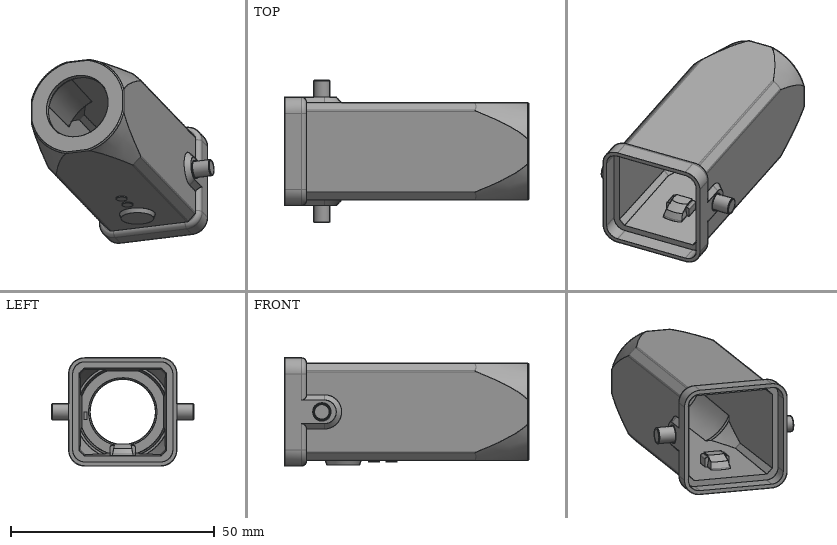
import cadquery as cq
import math

length = 60.0
pin_span = 35.0

collar_half = 13.3
collar_length = 5.4
collar_corner = 4.0
rim_wall = 1.0
rim_depth = 4.0

body_half = 12.0
body_chamfer = 2.0
body_edge_round = 0.5
nose_start = 46.8
nose_start_radius = 15.6
nose_end_radius = 12.3
nose_edge_chamfer = 0.3

end_wall = 2.0
floor_x = length - end_wall
cavity_mouth_half = 10.8
cavity_floor_half = 10.05
cavity_chamfer = 1.4
cavity_nose_start = 26.0
cavity_nose_radius = 14.4
ledge_x = 36.0
ledge_radius = 11.85
drum_radius = 11.25
drum_floor_radius = 10.75
cable_radius = 8.0
cable_chamfer = 0.4

notch_inner_y = 8.8
notch_outer_y = 9.5
notch_height = 1.85
notch_depth = 0.5

ear_base_radius = 4.2
ear_center_x = 9.8
pin_x = 9.15
pin_radius = 2.0
pin_tip_chamfer = 0.2
pin_groove_radius = 2.25
pin_groove_depth = 0.2

boss_x = 14.4
boss_base_radius = 4.4
boss_tip_radius = 4.0
boss_drop = 1.1
inner_boss_front_x = 10.9
inner_boss_flare_radius = 8.3
inner_boss_foot_radius = 8.0
inner_boss_shoulder_radius = 7.0
inner_boss_top_radius = 4.4
inner_boss_root_z = -11.5
inner_boss_flare_z = -10.8
inner_boss_foot_z = -10.4
inner_boss_shoulder_z = -8.95
inner_boss_top_z = -7.85
inner_boss_foot_half_width = 2.5
inner_boss_top_half_width = 2.2
cheek_half_width = 3.1
cheek_top_z = -8.2
cheek_round = 0.5
inner_boss_end_x = 2 * boss_x - inner_boss_front_x

pad_centers_x = (21.95, 26.3)
pad_radius = 1.35
pad_height = 0.3

overlap = 1.0
tangent_gap = 0.01


def square_section(x, half, chamfer):
    """Square wire across X with chamfered corners."""
    section = cq.Workplane("YZ", origin=(x, 0, 0))
    inner = half - chamfer
    return section.polyline([
        (half, -inner), (half, inner), (inner, half), (-inner, half),
        (-half, inner), (-half, -inner), (-inner, -half), (inner, -half),
    ]).close()


def turned(profile):
    """Revolve (x, radius) points around the X axis."""
    return cq.Workplane("XY").polyline(profile).close().revolve(360, (0, 0, 0), (1, 0, 0))


def make_collar():
    side = 2 * collar_half
    collar = cq.Workplane("YZ").rect(side, side).extrude(collar_length)
    collar = collar.edges("|X").fillet(collar_corner)
    return collar.faces(">X").edges().fillet(collar_half - body_half - tangent_gap)


def make_body():
    body = square_section(0, body_half, body_chamfer).extrude(length)
    body = body.edges("|X").fillet(body_edge_round)
    slope = (nose_end_radius - nose_start_radius) / (length - nose_start)
    envelope = turned([
        (0, 0),
        (0, nose_start_radius - slope * nose_start),
        (length, nose_end_radius),
        (length, 0),
    ])
    return body.intersect(envelope).faces(">X").edges().chamfer(nose_edge_chamfer)


def make_ear(side):
    """Tapered tongue running from the collar, on the +Y or -Y side."""
    ear_height = collar_half - body_half
    start = rim_depth / 2
    plane = cq.Plane(origin=(0, side * body_half, 0), xDir=(1, 0, 0), normal=(0, side, 0))

    def outline(workplane, radius):
        return (
            workplane.moveTo(start, -radius)
            .lineTo(ear_center_x, -radius)
            .threePointArc((ear_center_x + radius, 0), (ear_center_x, radius))
            .lineTo(start, radius)
            .close()
        )

    ear = outline(cq.Workplane(plane), ear_base_radius)
    ear = outline(ear.workplane(offset=ear_height), ear_base_radius - ear_height)
    return ear.loft(combine=True)


def make_pin(side):
    """Locking pin standing in a shallow ring groove."""
    foot_y = collar_half - pin_groove_depth
    plane = cq.Plane(origin=(pin_x, side * foot_y, 0), xDir=(1, 0, 0), normal=(0, side, 0))
    pin = cq.Workplane(plane).circle(pin_radius).extrude(pin_span / 2 - foot_y)
    pin = pin.faces(">Y" if side > 0 else "<Y").chamfer(pin_tip_chamfer)
    groove = cq.Workplane(plane).circle(pin_groove_radius).extrude(pin_groove_depth)
    return pin, groove


def make_mouth_recess():
    side = 2 * (collar_half - rim_wall)
    recess = cq.Workplane("YZ").rect(side, side).extrude(rim_depth)
    return recess.edges("|X").fillet(collar_corner - rim_wall)


def make_cavity():
    """Drafted square bore that turns round at its corners, with a ledge before the drum."""
    depth = floor_x - rim_depth
    draft = math.degrees(math.atan((cavity_mouth_half - cavity_floor_half) / depth))
    bore = square_section(rim_depth, cavity_mouth_half, cavity_chamfer).extrude(depth, taper=draft)
    return bore.intersect(turned([
        (0, 0),
        (0, cavity_nose_radius),
        (cavity_nose_start, cavity_nose_radius),
        (ledge_x, ledge_radius),
        (ledge_x, drum_radius),
        (floor_x, drum_floor_radius),
        (floor_x, 0),
    ]))


def make_cable_hole():
    return turned([
        (floor_x - overlap, 0),
        (floor_x - overlap, cable_radius + cable_chamfer),
        (floor_x, cable_radius + cable_chamfer),
        (floor_x + cable_chamfer, cable_radius),
        (length + overlap, cable_radius),
        (length + overlap, 0),
    ])


def make_notch():
    width = notch_outer_y - notch_inner_y
    corner = (floor_x - overlap, notch_inner_y, -notch_height)
    return cq.Workplane("XY", origin=corner).box(
        overlap + notch_depth, width, notch_height, centered=False
    )


def make_inner_boss_core():
    """Tall middle of the inner boss: tapered sides and a sloped, slightly rounded front."""
    core = cq.Workplane("YZ", origin=(inner_boss_front_x, 0, 0)).polyline([
        (-inner_boss_foot_half_width, inner_boss_root_z),
        (-inner_boss_foot_half_width, inner_boss_foot_z),
        (-inner_boss_top_half_width, inner_boss_shoulder_z),
        (-inner_boss_top_half_width, inner_boss_top_z),
        (inner_boss_top_half_width, inner_boss_top_z),
        (inner_boss_top_half_width, inner_boss_shoulder_z),
        (inner_boss_foot_half_width, inner_boss_foot_z),
        (inner_boss_foot_half_width, inner_boss_root_z),
    ]).close().extrude(inner_boss_end_x - inner_boss_front_x)
    front = cq.Workplane("XZ").polyline([
        (0, inner_boss_root_z),
        (inner_boss_flare_radius, inner_boss_root_z),
        (inner_boss_flare_radius, inner_boss_flare_z),
        (inner_boss_foot_radius, inner_boss_foot_z),
        (inner_boss_shoulder_radius, inner_boss_shoulder_z),
        (inner_boss_top_radius, inner_boss_top_z),
        (0, inner_boss_top_z),
    ]).close().revolve(360, (0, 0, 0), (0, 1, 0))
    return core.intersect(front.translate((inner_boss_front_x + inner_boss_flare_radius, 0, 0)))


def make_cheeks():
    """Lower, wider block behind the front of the inner boss."""
    cheeks = cq.Workplane("XY", origin=(boss_x, -cheek_half_width, inner_boss_root_z)).box(
        inner_boss_end_x - boss_x, 2 * cheek_half_width, cheek_top_z - inner_boss_root_z, centered=False
    )
    return cheeks.faces(">Z").edges("|X").fillet(cheek_round)


def make_boss():
    boss = cq.Workplane("XY", origin=(boss_x, 0, -body_half)).circle(boss_base_radius)
    return boss.workplane(offset=-boss_drop).circle(boss_tip_radius).loft(combine=True)


def make_pads():
    pads = cq.Workplane("XY", origin=(0, 0, -body_half - pad_height))
    pads = pads.pushPoints([(x, 0) for x in pad_centers_x])
    return pads.circle(pad_radius).extrude(pad_height)


hood = make_body().union(make_collar())
for side in (-1, 1):
    hood = hood.union(make_ear(side))
hood = hood.cut(make_mouth_recess()).cut(make_cavity())
hood = hood.cut(make_cable_hole()).cut(make_notch())
hood = hood.union(make_inner_boss_core()).union(make_cheeks())
hood = hood.union(make_boss()).union(make_pads())
for side in (-1, 1):
    pin, groove = make_pin(side)
    hood = hood.cut(groove).union(pin)

result = hood